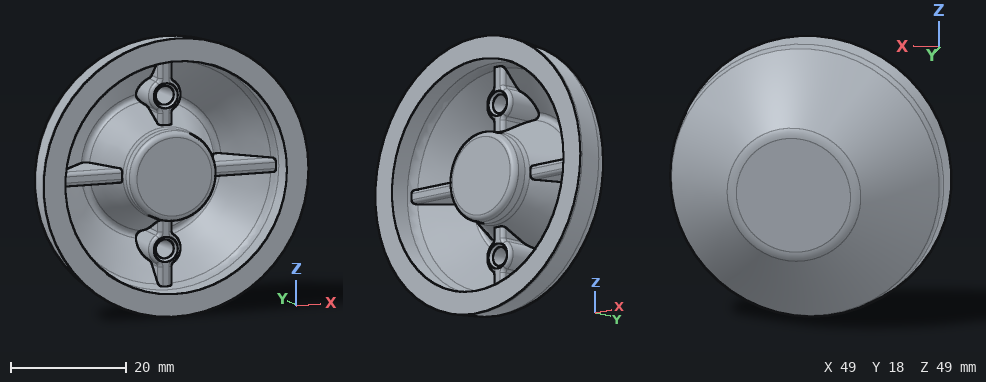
import cadquery as cq

outer_radius = 24.5
total_depth = 18.0
lip_depth = 0.5
shoulder_radius = 24.05
shoulder_depth = 5.1
dome_radius = 23.55
dome_depth = 6.7
crown_radius = 11.75
crown_depth = 17.5
back_flat_radius = 10.05
shoulder_mid = (23.9, 6.0)
dome_mid = (18.15, 12.15)
crown_mid = (11.0, 17.85)

opening_radius = 20.5
bowl_radius = 20.4
bowl_depth = 4.8
bowl_fillet = 2.6
valley_radius = 12.05
valley_depth = 13.25
valley_fillet = 0.9

hub_radius = 7.95
hub_face_depth = 0.9
hub_edge_fillet = 1.05
hub_base_depth = 4.0
hub_base_fillet = 2.45

rib_width = 2.55
rib_length = 2 * outer_radius
side_rib_depth = 4.65
screw_rib_depth = 5.05
boss_offset = 13.5
boss_radius = 2.95
edge_fillet = 0.75

hole_radius = 1.65
hole_chamfer = 0.55
hole_tip_radius = 0.65
hole_tip_depth = 11.75


def at_depth(depth):
    """Workplane normal to Y; extruding by a negative length goes deeper."""
    return cq.Workplane("XZ", origin=(0, depth, 0))


def turned(outline):
    """Solid of revolution about Y from an open (radius, depth) outline."""
    return outline.close().revolve(360, (0, 0, 0), (0, 1, 0))


def fillet_ring(solid, radius, depth, fillet):
    """Round the circular edge of the given radius at the given depth."""
    tol = 0.025
    ring = cq.selectors.BoxSelector(
        (-radius - tol, depth - tol, -radius - tol),
        (radius + tol, depth + tol, radius + tol),
        boundingbox=True,
    )
    return solid.edges(ring).fillet(fillet)


def outer_form():
    return turned(
        cq.Workplane("XY")
        .lineTo(outer_radius, 0)
        .lineTo(outer_radius, lip_depth)
        .lineTo(shoulder_radius, shoulder_depth)
        .threePointArc(shoulder_mid, (dome_radius, dome_depth))
        .threePointArc(dome_mid, (crown_radius, crown_depth))
        .threePointArc(crown_mid, (back_flat_radius, total_depth))
        .lineTo(0, total_depth)
    )


def cavity():
    """Hollow between the wall and the hub, open at the front."""
    space = turned(
        cq.Workplane("XY")
        .lineTo(0, hub_face_depth)
        .lineTo(hub_radius, hub_face_depth)
        .lineTo(hub_radius, hub_base_depth)
        .lineTo(valley_radius, valley_depth)
        .lineTo(bowl_radius, bowl_depth)
        .lineTo(opening_radius, 0)
    )
    space = fillet_ring(space, valley_radius, valley_depth, valley_fillet)
    space = fillet_ring(space, bowl_radius, bowl_depth, bowl_fillet)
    space = fillet_ring(space, hub_radius, hub_base_depth, hub_base_fillet)
    return fillet_ring(space, hub_radius, hub_face_depth, hub_edge_fillet)


def side_ribs():
    ribs = at_depth(side_rib_depth).rect(rib_length, rib_width).extrude(side_rib_depth - total_depth)
    return ribs.edges("|X and <Y").fillet(edge_fillet)


def screw_ribs():
    """Upright ribs with a round boss on each, blended together and rounded on top."""
    height = screw_rib_depth - total_depth
    ribs = at_depth(screw_rib_depth).rect(rib_width, rib_length).extrude(height)
    centres = [(0, boss_offset), (0, -boss_offset)]
    bosses = at_depth(screw_rib_depth).pushPoints(centres).circle(boss_radius).extrude(height)
    boss_reach = boss_offset + boss_radius
    boss_corners = cq.selectors.BoxSelector(
        (-boss_radius, 0, -boss_reach),
        (boss_radius, total_depth, boss_reach),
    )
    ribs = ribs.union(bosses).edges("|Y").edges(boss_corners).fillet(edge_fillet)
    return ribs.faces("<Y").edges().fillet(edge_fillet)


def screw_hole():
    """Tapered blind hole with a chamfered mouth, on the Y axis."""
    return turned(
        cq.Workplane("XY")
        .moveTo(0, screw_rib_depth)
        .lineTo(hole_radius + hole_chamfer, screw_rib_depth)
        .lineTo(hole_radius, screw_rib_depth + hole_chamfer)
        .lineTo(hole_tip_radius, hole_tip_depth)
        .lineTo(0, hole_tip_depth)
    )


hub_core = at_depth(hub_face_depth).circle(hub_radius - 0.5).extrude(-total_depth)
space = cavity().cut(side_ribs().cut(hub_core)).cut(screw_ribs().cut(hub_core))
result = outer_form().cut(space)
for side in (1, -1):
    result = result.cut(screw_hole().translate((0, 0, side * boss_offset)))